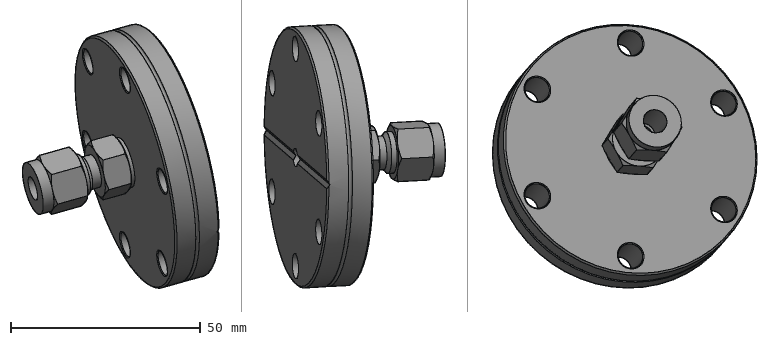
import cadquery as cq
import math

FLANGE_DIAMETER = 69.1
FLANGE_THICKNESS = 12.7
FLANGE_FRONT_Y = 0
EDGE_CHAMFER = 0.5
RIM_GROOVE_WIDTH = 1.05
RIM_GROOVE_DEPTH = 0.4
BACK_NOTCH_WIDTH = 2.35
BACK_NOTCH_DEPTH = 0.75

BOLT_COUNT = 6
BOLT_CIRCLE_DIAMETER = 58.7
BOLT_HOLE_DIAMETER = 6.7
BOLT_HOLE_CHAMFER = 0.3

BORE_DIAMETER = 4.85
COLLAR_DIAMETER = 13.7
COLLAR_LENGTH = 1.05
BODY_HEX_LENGTH = 7.5
NECK_DIAMETER = 9
NECK_LENGTH = 2.5
SHOULDER_DIAMETER = 11.1
SHOULDER_CONE_LENGTH = 1.05
SHOULDER_LENGTH = 1.45
NUT_HEX_LENGTH = 9.75
NUT_SLEEVE_LENGTH = 3.05
HEX_ACROSS_FLATS = 14.25
HEX_CORNER_ANGLE = 30
TUBE_SOCKET_DIAMETER = 6.35
TUBE_SOCKET_DEPTH = NUT_HEX_LENGTH + NUT_SLEEVE_LENGTH

BODY_HEX_START = COLLAR_LENGTH
NECK_START = BODY_HEX_START + BODY_HEX_LENGTH
CONE_START = NECK_START + NECK_LENGTH
SHOULDER_START = CONE_START + SHOULDER_CONE_LENGTH
NUT_START = SHOULDER_START + SHOULDER_LENGTH
SLEEVE_START = NUT_START + NUT_HEX_LENGTH
FITTING_LENGTH = SLEEVE_START + NUT_SLEEVE_LENGTH


def front_plane(distance):
    """Plane facing -Y, the given distance in front of the flange face."""
    return cq.Workplane("XZ", origin=(0, FLANGE_FRONT_Y - distance, 0))


def cylinder(diameter, start, length):
    return front_plane(start).circle(diameter / 2).extrude(length)


def turned(profile):
    """Revolve a closed (radius, y) profile about the Y axis."""
    return cq.Workplane("XY").polyline(profile).close().revolve(360, (0, 0, 0), (0, 1, 0))


def flange_blank():
    """Disc with bevelled rim edges and a round-bottomed groove around the middle of the rim."""
    rim = FLANGE_DIAMETER / 2
    front = FLANGE_FRONT_Y
    back = front + FLANGE_THICKNESS
    middle = (front + back) / 2
    profile = (
        cq.Workplane("XY")
        .moveTo(0, front)
        .lineTo(rim - EDGE_CHAMFER, front)
        .lineTo(rim, front + EDGE_CHAMFER)
        .lineTo(rim, middle - RIM_GROOVE_WIDTH / 2)
        .threePointArc((rim - RIM_GROOVE_DEPTH, middle), (rim, middle + RIM_GROOVE_WIDTH / 2))
        .lineTo(rim, back - EDGE_CHAMFER)
        .lineTo(rim - EDGE_CHAMFER, back)
        .lineTo(0, back)
        .close()
    )
    return profile.revolve(360, (0, 0, 0), (0, 1, 0))


def bolt_hole_cutter():
    """Hole along Y with a chamfered mouth at the front face."""
    radius = BOLT_HOLE_DIAMETER / 2
    back = FLANGE_FRONT_Y + FLANGE_THICKNESS
    return turned([
        (0, FLANGE_FRONT_Y),
        (radius + BOLT_HOLE_CHAMFER, FLANGE_FRONT_Y),
        (radius, FLANGE_FRONT_Y + BOLT_HOLE_CHAMFER),
        (radius, back),
        (0, back),
    ])


def back_notch_cutter():
    """V notch across the back face, running along X."""
    back = FLANGE_FRONT_Y + FLANGE_THICKNESS
    return (
        cq.Workplane("YZ")
        .polyline([
            (back, -BACK_NOTCH_WIDTH / 2),
            (back - BACK_NOTCH_DEPTH, 0),
            (back, BACK_NOTCH_WIDTH / 2),
        ])
        .close()
        .extrude(FLANGE_DIAMETER / 2, both=True)
    )


def make_flange():
    flange = flange_blank()
    flange = flange.cut(cylinder(BORE_DIAMETER, -FLANGE_THICKNESS, FLANGE_THICKNESS))
    flange = flange.cut(back_notch_cutter())
    hole = bolt_hole_cutter()
    for index in range(BOLT_COUNT):
        angle = math.radians(90 + index * 360 / BOLT_COUNT)
        x = BOLT_CIRCLE_DIAMETER / 2 * math.cos(angle)
        z = BOLT_CIRCLE_DIAMETER / 2 * math.sin(angle)
        flange = flange.cut(hole.translate((x, 0, z)))
    return flange


def chamfered_hex(start, length):
    """Hexagonal section, corners on +X and -X, with conically chamfered ends."""
    flat_radius = HEX_ACROSS_FLATS / 2
    corner_radius = flat_radius / math.cos(math.pi / 6)
    corner_drop = (corner_radius - flat_radius) * math.tan(math.radians(HEX_CORNER_ANGLE))
    near = FLANGE_FRONT_Y - start
    far = near - length
    prism = front_plane(start).polygon(6, 2 * corner_radius).extrude(length)
    envelope = turned([
        (0, near),
        (flat_radius, near),
        (corner_radius, near - corner_drop),
        (corner_radius, far + corner_drop),
        (flat_radius, far),
        (0, far),
    ])
    return prism.intersect(envelope)


def shoulder_cone():
    return turned([
        (0, FLANGE_FRONT_Y - CONE_START),
        (NECK_DIAMETER / 2, FLANGE_FRONT_Y - CONE_START),
        (SHOULDER_DIAMETER / 2, FLANGE_FRONT_Y - SHOULDER_START),
        (0, FLANGE_FRONT_Y - SHOULDER_START),
    ])


def make_fitting():
    fitting = cylinder(COLLAR_DIAMETER, 0, COLLAR_LENGTH)
    fitting = fitting.union(chamfered_hex(BODY_HEX_START, BODY_HEX_LENGTH))
    fitting = fitting.union(cylinder(NECK_DIAMETER, NECK_START, NECK_LENGTH))
    fitting = fitting.union(shoulder_cone())
    fitting = fitting.union(cylinder(SHOULDER_DIAMETER, SHOULDER_START, SHOULDER_LENGTH))
    fitting = fitting.union(chamfered_hex(NUT_START, NUT_HEX_LENGTH))
    fitting = fitting.union(cylinder(HEX_ACROSS_FLATS, SLEEVE_START, NUT_SLEEVE_LENGTH))
    fitting = fitting.cut(cylinder(BORE_DIAMETER, 0, FITTING_LENGTH))
    socket_start = FITTING_LENGTH - TUBE_SOCKET_DEPTH
    return fitting.cut(cylinder(TUBE_SOCKET_DIAMETER, socket_start, TUBE_SOCKET_DEPTH))


flange = make_flange()
fitting = make_fitting()
result = cq.Compound.makeCompound([flange.val(), fitting.val()])